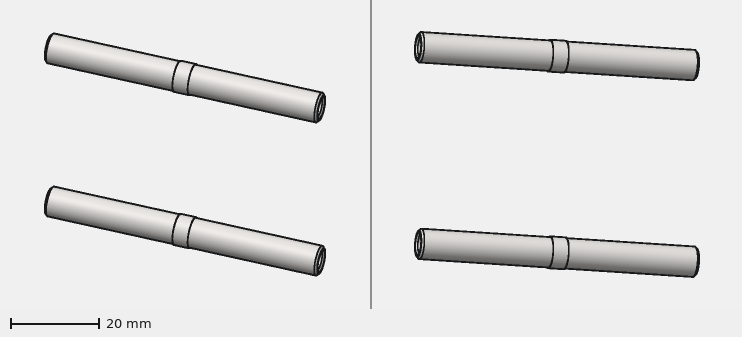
import cadquery as cq
import math

length = 65.2
body_diameter = 7.0
collar_diameter = 7.3
collar_width = 3.65
end_chamfer = 0.5

hole_diameter = 4.1
hole_depth = 9.8
drill_point_angle = 120.0
mouth_chamfer = 0.45

overall_height = 53.3
pin_spacing = overall_height - collar_diameter


def make_drilling():
    """Hole cutter that enters the end at -X, with its countersink and drill point."""
    hole_radius = hole_diameter / 2
    mouth_radius = hole_radius + mouth_chamfer
    point_length = hole_radius / math.tan(math.radians(drill_point_angle / 2))
    end_x = -length / 2
    bottom_x = end_x + hole_depth
    return (
        cq.Workplane("XY")
        .moveTo(end_x, 0)
        .lineTo(end_x, mouth_radius)
        .lineTo(end_x + mouth_chamfer, hole_radius)
        .lineTo(bottom_x, hole_radius)
        .lineTo(bottom_x + point_length, 0)
        .close()
        .revolve(360, (0, 0, 0), (1, 0, 0))
    )


def make_cylinder(diameter, width):
    """Cylinder along X, centered on the origin."""
    return cq.Workplane("YZ").workplane(offset=-width / 2).circle(diameter / 2).extrude(width)


def make_pin(center_z):
    """Pin with chamfered ends, a central collar and a drilling in each end."""
    shaft = make_cylinder(body_diameter, length).faces("<X or >X").chamfer(end_chamfer)
    collar = make_cylinder(collar_diameter, collar_width)
    drilling = make_drilling()
    pin = shaft.union(collar).cut(drilling).cut(drilling.mirror("YZ"))
    return pin.translate((0, 0, center_z))


pins = [make_pin(side * pin_spacing / 2) for side in (-1, 1)]

result = cq.Compound.makeCompound([pin.val() for pin in pins])